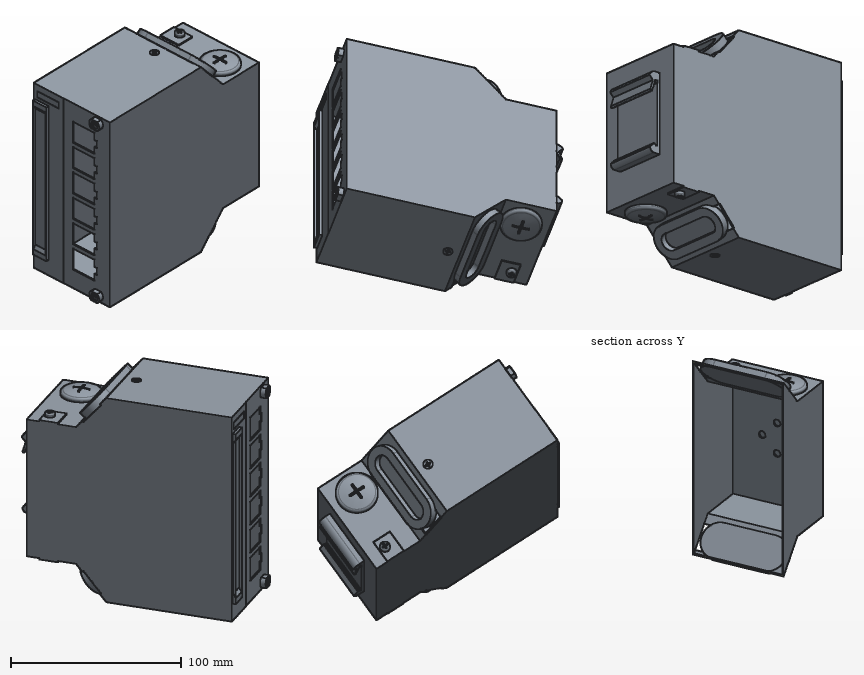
import cadquery as cq
import math

WIDTH = 61.0
HALF_WIDTH = WIDTH / 2
HALF_HEIGHT = 65.8
DEPTH = 129.0
WALL = 1.0

SHOULDER_FRONT = 78.8
SHOULDER_REAR = 97.9
REAR_HALF_HEIGHT = 44.1
SHOULDER_RUN = SHOULDER_REAR - SHOULDER_FRONT
SHOULDER_RISE = HALF_HEIGHT - REAR_HALF_HEIGHT

NOTCH_LENGTH = 16.7
NOTCH_WIDTH = 5.6
NOTCH_SIDE_DEPTH = 0.8
NOTCH_OFFSET = -0.1

RIM_LENGTH = 57.1
RIM_WIDTH = 22.4
RIM_BAND = 5.6
RIM_HEIGHT = 4.2
RIM_OFFSET = -0.5

CAP_X = 15.1
CAP_Y = 111.8
CAP_DIAMETER = 24.9
CAP_DOME_DIAMETER = 21.8
CAP_EDGE_HEIGHT = 1.0
CAP_SHOULDER_HEIGHT = 2.7
CAP_HEIGHT = 4.0
CAP_CROSS_LENGTH = 10.1
CAP_CROSS_WIDTH = 1.0
CAP_CROSS_DEPTH = 1.4

TAB_LENGTH = 14.7
TAB_WIDTH = 11.8
TAB_THICKNESS = 0.8
TAB_CENTRE_Y = 115.3
TAB_SCREW_X = -22.4
TAB_SCREW_Y = 117.4
TAB_SCREW_DIAMETER = 6.0
TAB_SCREW_HEIGHT = 2.5
TAB_SCREW_ROUNDING = 1.1

COVER_SCREW_Y = 71.4
COVER_SCREW_DIAMETER = 5.6
COVER_SCREW_SEAT = 0.1

SCREW_CROSS_LENGTH = 3.1
SCREW_CROSS_WIDTH = 0.7
SCREW_CROSS_DEPTH = 0.7

CLIP_HOLE_DIAMETER = 4.5
CLIP_HOLE_CIRCLE = 19.9
CLIP_HOLE_COUNT = 4

CLIP_WIDTH = 35.9
CLIP_TOP = 29.4
CLIP_BOTTOM = -22.3
CLIP_PLATE = 2.1
CLIP_REACH = 7.8

FRONT_STEP_X = -6.6
FRONT_STEP = 0.1

BAR_LEFT = -29.3
BAR_RIGHT = -18.5
BAR_HALF_HEIGHT = 54.8
BAR_HEIGHT = 2.0
BAR_POCKET_LEFT = -28.9
BAR_POCKET_RIGHT = -19.3
BAR_POCKET_HALF_HEIGHT = 51.0
BAR_FLOOR_HALF_HEIGHT = 48.5
BAR_POCKET_DEPTH = 1.7

LABEL_LEFT = -27.5
LABEL_LENGTH = 17.1
LABEL_HEIGHT = 4.3
LABEL_CENTRE_Z = 59.1
LABEL_RAISE = 0.1

WINDOW_COUNT = 6
WINDOW_PITCH = 18.0
WINDOW_LEFT = 0.7
WINDOW_RIGHT = 17.9
WINDOW_HEIGHT = 15.0
LATCH_WIDTH = 2.0
LATCH_HEIGHT = 5.0
LATCH_DROP = 0.1

CAPTIVE_X = 21.0
CAPTIVE_Z = 61.2
CAPTIVE_HEIGHT = 3.2
CAPTIVE_DIAMETER = 8.1
CAPTIVE_FLATS = 6.5
CAPTIVE_RECESS_DEPTH = 1.0
CAPTIVE_HEAD_DIAMETER = 5.0
CAPTIVE_SLOT_WIDTH = 1.1
CAPTIVE_SLOT_DEPTH = 1.1


def cross(length, width, depth):
    """Solid of a cross recess, reaching from Z = 0 down by the depth."""
    arm = cq.Workplane("XY").box(length, width, depth, centered=(True, True, False))
    arms = arm.union(arm.rotate((0, 0, 0), (0, 0, 1), 90))
    return arms.translate((0, 0, -depth))


def screw_recess(top):
    return cross(SCREW_CROSS_LENGTH, SCREW_CROSS_WIDTH, SCREW_CROSS_DEPTH).translate((0, 0, top))


def shoulder_plane():
    """Plane on the upper shoulder: local X across the unit, local Y up the slope."""
    return cq.Plane(
        origin=(0, (SHOULDER_FRONT + SHOULDER_REAR) / 2, (HALF_HEIGHT + REAR_HALF_HEIGHT) / 2),
        xDir=(-1, 0, 0),
        normal=(0, SHOULDER_RISE, SHOULDER_RUN),
    )


def front_box(left, right, half_height, front, back):
    """Box centred on Z = 0 between two X positions and two Y positions."""
    size = (right - left, back - front, 2 * half_height)
    centre = ((left + right) / 2, (front + back) / 2, 0)
    return cq.Workplane("XY").box(*size).translate(centre)


def side_profile(inset):
    """Side outline of the unit, shrunk all round by an inset."""
    shift = inset * math.tan(math.atan2(SHOULDER_RISE, SHOULDER_RUN) / 2)
    upper = [
        (inset, HALF_HEIGHT - inset),
        (SHOULDER_FRONT - shift, HALF_HEIGHT - inset),
        (SHOULDER_REAR - shift, REAR_HALF_HEIGHT - inset),
        (DEPTH - inset, REAR_HALF_HEIGHT - inset),
    ]
    lower = [(y, -z) for y, z in reversed(upper)]
    return cq.Workplane("YZ").polyline(upper + lower).close()


def housing_shell():
    outside = side_profile(0).extrude(HALF_WIDTH, both=True)
    cavity = side_profile(WALL).extrude(HALF_WIDTH - WALL, both=True)
    return outside.cut(cavity)


def notch_cut():
    """Notch through the shoulder sheet, just lowering the edge of the left side."""
    edge = cq.Workplane(shoulder_plane()).center(HALF_WIDTH - NOTCH_WIDTH / 2, NOTCH_OFFSET)
    side = edge.rect(NOTCH_WIDTH, NOTCH_LENGTH).extrude(-NOTCH_SIDE_DEPTH)
    inner_width = NOTCH_WIDTH - WALL
    inner = cq.Workplane(shoulder_plane()).center(HALF_WIDTH - WALL - inner_width / 2, NOTCH_OFFSET)
    opening = inner.rect(inner_width, NOTCH_LENGTH).extrude(-WALL)
    return side.union(opening)


def rim_outline():
    return cq.Workplane(shoulder_plane()).center(0, RIM_OFFSET).slot2D(RIM_LENGTH, RIM_WIDTH)


def rim_hole():
    """Oval hole through the shoulder sheet."""
    return rim_outline().extrude(-WALL)


def clip_holes():
    return (
        cq.Workplane("XZ", origin=(0, DEPTH, 0))
        .polarArray(CLIP_HOLE_CIRCLE / 2, 0, 360, CLIP_HOLE_COUNT)
        .circle(CLIP_HOLE_DIAMETER / 2)
        .extrude(WALL)
    )


def domed_cap():
    radius = CAP_DIAMETER / 2
    dome_radius = CAP_DOME_DIAMETER / 2
    profile = (
        cq.Workplane("XZ")
        .lineTo(radius, 0)
        .lineTo(radius, CAP_EDGE_HEIGHT)
        .tangentArcPoint((dome_radius, CAP_SHOULDER_HEIGHT), relative=False)
        .threePointArc(
            (dome_radius / 2, CAP_HEIGHT - (CAP_HEIGHT - CAP_SHOULDER_HEIGHT) / 4),
            (0, CAP_HEIGHT),
        )
        .close()
    )
    cap = profile.revolve(360, (0, 0), (0, 1))
    recess = cross(CAP_CROSS_LENGTH, CAP_CROSS_WIDTH, CAP_CROSS_DEPTH).translate((0, 0, CAP_HEIGHT))
    return cap.cut(recess).translate((CAP_X, CAP_Y, REAR_HALF_HEIGHT))


def earthing_tab():
    tab = cq.Workplane("XY").box(TAB_LENGTH, TAB_WIDTH, TAB_THICKNESS, centered=(False, True, False))
    tab = tab.translate((-HALF_WIDTH, TAB_CENTRE_Y, REAR_HALF_HEIGHT))
    head = cq.Workplane("XY").circle(TAB_SCREW_DIAMETER / 2).extrude(TAB_SCREW_HEIGHT)
    head = head.faces(">Z").edges().fillet(TAB_SCREW_ROUNDING)
    head = head.cut(screw_recess(TAB_SCREW_HEIGHT))
    return tab.union(head.translate((TAB_SCREW_X, TAB_SCREW_Y, REAR_HALF_HEIGHT + TAB_THICKNESS)))


def cover_screw_recess():
    """Shallow round seat with a cross recess in its floor."""
    seat = cq.Workplane("XY").circle(COVER_SCREW_DIAMETER / 2).extrude(-COVER_SCREW_SEAT)
    recess = seat.union(screw_recess(-COVER_SCREW_SEAT))
    return recess.translate((0, COVER_SCREW_Y, HALF_HEIGHT))


def grip_bar():
    """Upright bar with a long pocket whose two ends slope."""
    bar = front_box(BAR_LEFT, BAR_RIGHT, BAR_HALF_HEIGHT, -BAR_HEIGHT, 0)
    floor = -BAR_HEIGHT + BAR_POCKET_DEPTH
    outline = [
        (-BAR_HEIGHT, BAR_POCKET_HALF_HEIGHT),
        (floor, BAR_FLOOR_HALF_HEIGHT),
        (floor, -BAR_FLOOR_HALF_HEIGHT),
        (-BAR_HEIGHT, -BAR_POCKET_HALF_HEIGHT),
    ]
    pocket = (
        cq.Workplane("YZ", origin=(BAR_POCKET_LEFT, 0, 0))
        .polyline(outline)
        .close()
        .extrude(BAR_POCKET_RIGHT - BAR_POCKET_LEFT)
    )
    return bar.cut(pocket)


def label():
    plate = cq.Workplane("XY").box(
        LABEL_LENGTH, LABEL_RAISE, LABEL_HEIGHT, centered=(False, False, True)
    )
    return plate.translate((LABEL_LEFT, -LABEL_RAISE, LABEL_CENTRE_Z))


def connector_window(centre_z):
    opening = front_box(WINDOW_LEFT, WINDOW_RIGHT, WINDOW_HEIGHT / 2, 0, WALL)
    latch = front_box(WINDOW_RIGHT, WINDOW_RIGHT + LATCH_WIDTH, LATCH_HEIGHT / 2, 0, WALL)
    return opening.union(latch.translate((0, 0, -LATCH_DROP))).translate((0, 0, centre_z))


def captive_screw():
    """Collar with two flats, standing on the stepped front, with a sunk slotted head inside."""
    base = cq.Workplane("XZ", origin=(0, FRONT_STEP, 0))
    length = CAPTIVE_HEIGHT + FRONT_STEP
    collar = base.circle(CAPTIVE_DIAMETER / 2).extrude(length)
    flats = base.rect(CAPTIVE_DIAMETER, CAPTIVE_FLATS).extrude(length)
    head_face = CAPTIVE_HEIGHT - CAPTIVE_RECESS_DEPTH
    recess = (
        cq.Workplane("XZ", origin=(0, -head_face, 0))
        .circle(CAPTIVE_HEAD_DIAMETER / 2)
        .extrude(CAPTIVE_RECESS_DEPTH)
    )
    slot = (
        cq.Workplane("XZ", origin=(0, -head_face, 0))
        .rect(CAPTIVE_HEAD_DIAMETER, CAPTIVE_SLOT_WIDTH)
        .extrude(-CAPTIVE_SLOT_DEPTH)
    )
    screw = collar.intersect(flats).cut(recess).cut(slot)
    return screw.translate((CAPTIVE_X, 0, CAPTIVE_Z))


def front_step():
    """Shallow step that sets the connector side of the front back from the grip side."""
    return front_box(FRONT_STEP_X, HALF_WIDTH, HALF_HEIGHT, 0, FRONT_STEP)


def make_housing():
    housing = housing_shell().cut(clip_holes()).cut(front_step())
    for opening in (rim_hole(), notch_cut(), cover_screw_recess()):
        housing = housing.cut(opening).cut(opening.mirror("XY"))
    for index in range(WINDOW_COUNT):
        centre_z = (index - (WINDOW_COUNT - 1) / 2) * WINDOW_PITCH
        housing = housing.cut(connector_window(centre_z))
    for feature in (domed_cap(), earthing_tab(), captive_screw()):
        housing = housing.union(feature).union(feature.mirror("XY"))
    return housing.union(grip_bar()).union(label())


def make_rail_clip():
    plate_rear = DEPTH + CLIP_PLATE
    tip = DEPTH + CLIP_REACH
    profile = (
        cq.Workplane("YZ")
        .moveTo(DEPTH, CLIP_BOTTOM)
        .lineTo(DEPTH, CLIP_TOP)
        .lineTo(132.2, CLIP_TOP)
        .threePointArc((135.3, 28.5), (tip, 26.2))
        .lineTo(134.3, 23.5)
        .lineTo(136.1, 17.6)
        .threePointArc((135.7, 16.4), (134.7, 17.2))
        .lineTo(132.2, 24.2)
        .lineTo(130.7, 24.2)
        .lineTo(130.7, 22.7)
        .lineTo(plate_rear, 22.7)
        .lineTo(plate_rear, -17.4)
        .lineTo(131.8, -17.4)
        .lineTo(132.9, -16.2)
        .lineTo(133.6, -16.2)
        .lineTo(136.4, -19.2)
        .threePointArc((135.8, -21.0), (134.0, CLIP_BOTTOM))
        .close()
    )
    return profile.extrude(CLIP_WIDTH / 2, both=True)


def make_oval_rim():
    """Oval cup whose plug fills the shoulder hole and whose rim stands on the shoulder."""
    opening = (
        cq.Workplane(shoulder_plane())
        .center(0, RIM_OFFSET)
        .slot2D(RIM_LENGTH - 2 * RIM_BAND, RIM_WIDTH - 2 * RIM_BAND)
        .extrude(RIM_HEIGHT)
    )
    return rim_outline().extrude(RIM_HEIGHT).cut(opening).union(rim_hole())


housing = make_housing()
rail_clip = make_rail_clip()
top_rim = make_oval_rim()
oval_rims = [top_rim, top_rim.mirror("XY")]

result = cq.Compound.makeCompound(
    [housing.val(), rail_clip.val(), *[rim.val() for rim in oval_rims]]
)